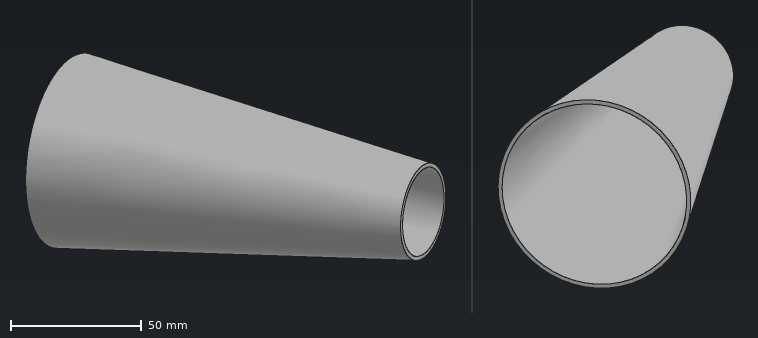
import cadquery as cq

length = 152.4
large_diameter = 76.2
small_diameter = large_diameter / 2
wall = 1.7

large_radius = large_diameter / 2
small_radius = small_diameter / 2

wall_section = (
    cq.Workplane("XY")
    .moveTo(0, large_radius - wall)
    .lineTo(0, large_radius)
    .lineTo(length, small_radius)
    .lineTo(length, small_radius - wall)
    .close()
)

result = wall_section.revolve(360, (0, 0, 0), (1, 0, 0))